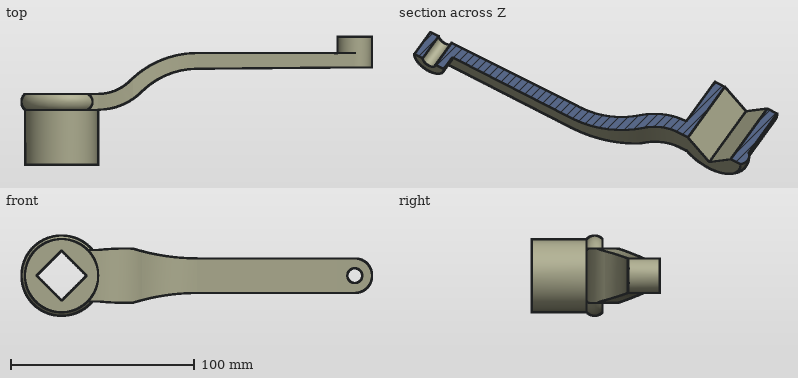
import cadquery as cq
import math

hub_radius = 20.0
hub_depth = 30.0
flange_radius = 22.0
thickness = 8.75
square_side = 19.2
drive_turn = 45.0

bend_angle = math.radians(44.2)
lower_bend_radius = 33.4
upper_bend_radius = 43.1
link_length = 1.0
bend_start = hub_radius
grip_flat_length = 1.5

boss_radius = 9.5
boss_x = 160.0
boss_bottom = 23.0
boss_top = 40.0
pin_hole_diameter = 8.0
arm_end_top = 31.0

root_half_width = 14.1
bulge_mid_x = 28.5
bulge_mid_half_width = 14.75
shoulder_x = 39.0
shoulder_half_width = 14.8
grip_half_width = boss_radius

radius_sum = lower_bend_radius + upper_bend_radius
bend_length = radius_sum * math.sin(bend_angle) + link_length * math.cos(bend_angle)
bend_rise = radius_sum * (1 - math.cos(bend_angle)) + link_length * math.sin(bend_angle)
grip_start = bend_start + bend_length
lower_center = (bend_start, lower_bend_radius)
upper_center = (grip_start, bend_rise - upper_bend_radius)
taper_length = grip_start - shoulder_x
taper_drop = shoulder_half_width - grip_half_width
taper_radius = (taper_length**2 + taper_drop**2) / (2 * taper_drop)
taper_mid_x = shoulder_x + taper_length / 2
taper_mid_half_width = (
    grip_half_width + taper_radius - math.sqrt(taper_radius**2 - (taper_length / 2) ** 2)
)


def lower_point(radius, angle):
    """Point on the bend next to the hub, measured from its lowest position."""
    x, y = lower_center
    return x + radius * math.sin(angle), y - radius * math.cos(angle)


def upper_point(radius, angle):
    """Point on the bend next to the grip, measured from its highest position."""
    x, y = upper_center
    return x - radius * math.sin(angle), y + radius * math.cos(angle)


def make_hub():
    """Round hub with a flange whose rim bulges outward as an arc."""
    return (
        cq.Workplane("XY")
        .moveTo(0, -hub_depth)
        .lineTo(hub_radius, -hub_depth)
        .lineTo(hub_radius, 0)
        .threePointArc((flange_radius, thickness / 2), (hub_radius, thickness))
        .lineTo(0, thickness)
        .close()
        .revolve(360, (0, 0, 0), (0, 1, 0))
    )


def make_arm_profile():
    """S-bent side profile of the arm, extruded wider than the finished arm."""
    half_angle = bend_angle / 2
    lower_inner = lower_bend_radius - thickness
    upper_outer = upper_bend_radius + thickness
    return (
        cq.Workplane("XY")
        .moveTo(0, 0)
        .lineTo(bend_start, 0)
        .threePointArc(
            lower_point(lower_bend_radius, half_angle), lower_point(lower_bend_radius, bend_angle)
        )
        .lineTo(*upper_point(upper_bend_radius, bend_angle))
        .threePointArc(upper_point(upper_bend_radius, half_angle), upper_point(upper_bend_radius, 0))
        .lineTo(grip_start + grip_flat_length, bend_rise)
        .lineTo(boss_x - boss_radius, boss_bottom)
        .lineTo(boss_x, boss_bottom)
        .lineTo(boss_x, arm_end_top)
        .lineTo(*upper_point(upper_outer, 0))
        .threePointArc(upper_point(upper_outer, half_angle), upper_point(upper_outer, bend_angle))
        .lineTo(*lower_point(lower_inner, bend_angle))
        .threePointArc(lower_point(lower_inner, half_angle), lower_point(lower_inner, 0))
        .lineTo(0, thickness)
        .close()
        .extrude(flange_radius, both=True)
    )


def make_arm_outline():
    """Arm width along X: slight bulge over the bend, then a taper to the grip."""
    half = (
        cq.Workplane("XZ", origin=(0, boss_top, 0))
        .moveTo(0, 0)
        .lineTo(0, root_half_width)
        .lineTo(bend_start, root_half_width)
        .threePointArc((bulge_mid_x, bulge_mid_half_width), (shoulder_x, shoulder_half_width))
        .threePointArc((taper_mid_x, taper_mid_half_width), (grip_start, grip_half_width))
        .lineTo(boss_x, grip_half_width)
        .lineTo(boss_x, 0)
        .close()
        .extrude(boss_top + hub_depth)
    )
    return half.union(half.mirror("XY"))


def make_boss():
    """Round boss that closes the free end of the arm."""
    return (
        cq.Workplane("XZ", origin=(boss_x, boss_top, 0))
        .circle(boss_radius)
        .extrude(boss_top - boss_bottom)
    )


def cut_openings(body):
    """Square drive opening, corners on X and Z, and the round pin hole."""
    through = boss_top + hub_depth
    drive = (
        cq.Workplane("XZ", origin=(0, boss_top, 0))
        .transformed(rotate=(0, 0, drive_turn))
        .rect(square_side, square_side)
        .extrude(through)
    )
    pin_hole = (
        cq.Workplane("XZ", origin=(boss_x, boss_top, 0))
        .circle(pin_hole_diameter / 2)
        .extrude(through)
    )
    return body.cut(drive).cut(pin_hole)


arm = make_arm_profile().intersect(make_arm_outline())
result = cut_openings(make_hub().union(arm).union(make_boss()))